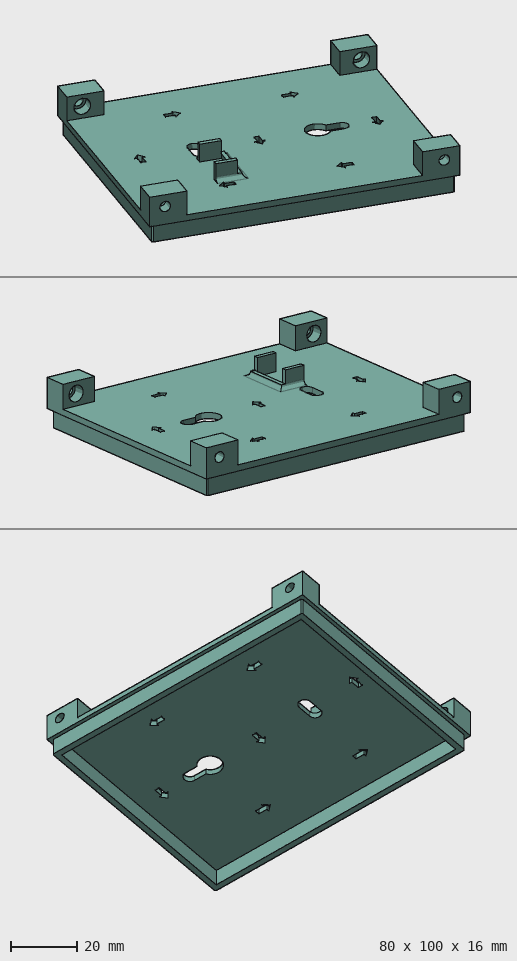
import cadquery as cq
import math

plate_x = 80.0
plate_y = 100.0
plate_thickness = 2.0

skirt_height = 6.0
skirt_inset = 1.2
skirt_wall = plate_thickness
skirt_corner_chamfer = 0.4

plate_top = skirt_height + plate_thickness

block_x = 8.0
block_y = 12.0
block_height = 8.0
hole_edge_distance = 5.0
hole_diameter = 3.4
counterbore_diameter = 5.3
counterbore_depth = 4.0

keyhole_y = 19.0
keyhole_diameter = 8.0
keyhole_neck_length = 7.9
slot_y = -20.0
slot_width = 4.2
slot_length = 9.0

arrow_tail = 2.1
arrow_tip = 3.0
arrow_head_length = 2.0
arrow_head_width = 3.4
arrow_shaft_width = 1.6
arrow_spacing_x = 25.0
arrow_spacing_y = 19.0

clip_left = 6.5
clip_width = 15.5
clip_wall = 1.5
clip_back_y = -13.5
clip_front_y = -22.0
clip_height = 6.0
clip_bar_height = 1.5
clip_foot_radius = 1.5


def box(x, y, z, length, width, height):
    """Box given by its lowest corner and its size."""
    return cq.Workplane("XY", origin=(x, y, z)).box(length, width, height, centered=False)


def make_base():
    """Plate on a skirt; the cavity under the plate is open at the bottom."""
    skirt_x = plate_x - 2 * skirt_inset
    skirt_y = plate_y - 2 * skirt_inset
    skirt = cq.Workplane("XY").rect(skirt_x, skirt_y).extrude(skirt_height)
    skirt = skirt.edges("|Z").chamfer(skirt_corner_chamfer)
    cavity_x = skirt_x - 2 * skirt_wall
    cavity_y = skirt_y - 2 * skirt_wall
    cavity = cq.Workplane("XY").rect(cavity_x, cavity_y).extrude(skirt_height)
    plate = box(-plate_x / 2, -plate_y / 2, skirt_height, plate_x, plate_y, plate_thickness)
    return skirt.cut(cavity).union(plate)


def make_corner_block():
    """Block at the +X, +Y corner, counterbored from its inner face."""
    inner_x = plate_x / 2 - block_x
    block = box(inner_x, plate_y / 2 - block_y, plate_top, block_x, block_y, block_height)
    hole_center = (inner_x, plate_y / 2 - hole_edge_distance, plate_top + block_height / 2)
    hole_plane = cq.Workplane("YZ", origin=hole_center)
    hole = hole_plane.circle(hole_diameter / 2).extrude(block_x)
    counterbore = hole_plane.circle(counterbore_diameter / 2).extrude(counterbore_depth)
    return block.cut(hole).cut(counterbore)


def make_clip():
    """Clip on the plate with a concave foot along its back and outer sides."""
    bar_front_y = clip_back_y - clip_wall
    wall_length = bar_front_y - clip_front_y
    right_wall_x = clip_left + clip_width - clip_wall
    clip = box(clip_left, bar_front_y, plate_top, clip_width, clip_wall, clip_bar_height)
    for wall_x in (clip_left, right_wall_x):
        wall = box(wall_x, clip_front_y, plate_top, clip_wall, wall_length, clip_height)
        clip = clip.union(wall)

    clip_right = clip_left + clip_width
    path = (
        cq.Workplane("XY", origin=(0, 0, plate_top))
        .moveTo(clip_left, clip_front_y)
        .lineTo(clip_left, clip_back_y)
        .lineTo(clip_right, clip_back_y)
        .lineTo(clip_right, clip_front_y)
    )
    arc_offset = clip_foot_radius * (1 - math.sqrt(0.5))
    foot = (
        cq.Workplane("XZ", origin=(clip_left, clip_front_y, plate_top))
        .lineTo(-clip_foot_radius, 0)
        .threePointArc((-arc_offset, arc_offset), (0, clip_foot_radius))
        .close()
        .sweep(path, transition="right")
    )
    return clip.union(foot)


def make_keyhole():
    """Cutter for the round screw-head opening with its neck pointing to +Y."""
    head = cq.Workplane("XY").center(0, keyhole_y).circle(keyhole_diameter / 2)
    neck = cq.Workplane("XY").center(0, keyhole_y + keyhole_neck_length / 2)
    neck = neck.slot2D(keyhole_neck_length + slot_width, slot_width, 90)
    return head.extrude(plate_top).union(neck.extrude(plate_top))


def make_slot():
    """Cutter for the hanging slot along X."""
    return cq.Workplane("XY").center(0, slot_y).slot2D(slot_length, slot_width).extrude(plate_top)


def make_arrow(x, y, angle):
    """Arrow cutter; an angle of zero points along +X."""
    head_start = arrow_tip - arrow_head_length
    upper_half = [
        (-arrow_tail, arrow_shaft_width / 2),
        (head_start, arrow_shaft_width / 2),
        (head_start, arrow_head_width / 2),
    ]
    lower_half = [(px, -py) for px, py in reversed(upper_half)]
    outline = upper_half + [(arrow_tip, 0)] + lower_half
    arrow = cq.Workplane("XY").polyline(outline).close().extrude(plate_top)
    return arrow.rotate((0, 0, 0), (0, 0, 1), angle).translate((x, y, 0))


arrows = [
    (0, 2 * arrow_spacing_y, 0),
    (0, 0, 0),
    (0, -2 * arrow_spacing_y, 180),
]
for side_y in (-arrow_spacing_y, arrow_spacing_y):
    arrows.append((-arrow_spacing_x, side_y, 90))
    arrows.append((arrow_spacing_x, side_y, -90))

result = make_base()

corner_block = make_corner_block()
right_blocks = corner_block.union(corner_block.mirror("XZ"))
result = result.union(right_blocks).union(right_blocks.mirror("YZ"))

result = result.cut(make_keyhole()).cut(make_slot())
for arrow_x, arrow_y, arrow_angle in arrows:
    result = result.cut(make_arrow(arrow_x, arrow_y, arrow_angle))

result = result.union(make_clip())